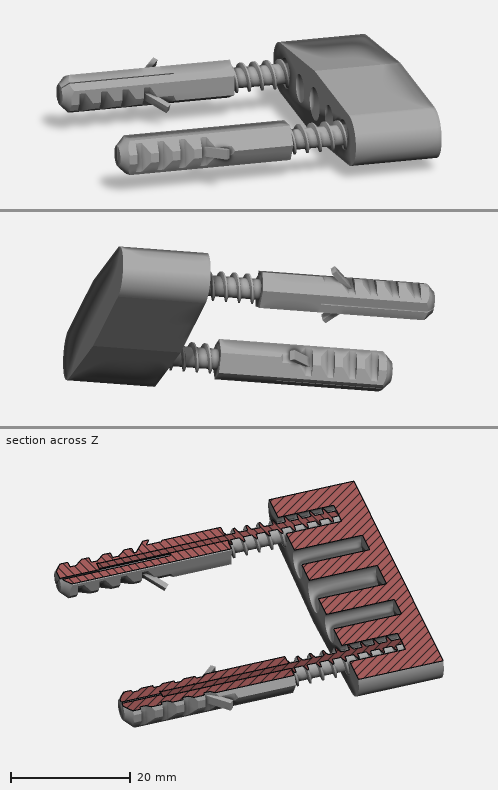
import cadquery as cq
import math

BLOCK_LENGTH = 48.4
BLOCK_HEIGHT = 11.7
BLOCK_DEPTH = 15.0
BLOCK_END_RADIUS = 4.4

CENTER_HOLE_DIAMETER = 5.75
SIDE_HOLE_DIAMETER = 4.9
SIDE_HOLE_OFFSET = 8.5
SCREW_HOLE_DIAMETER = 5.25
HOLE_DEPTH = 12.0

FIXING_OFFSET = 17.0
LEFT_PLUG_TURN = -35.2
RIGHT_PLUG_TURN = 2.2
TOTAL_DEPTH = 54.6
PLUG_LENGTH = 29.75
PLUG_START = TOTAL_DEPTH - BLOCK_DEPTH - PLUG_LENGTH
FIXING_REACH = PLUG_START + PLUG_LENGTH

CORE_DIAMETER = 3.5
THREAD_DIAMETER = 5.0
THREAD_PITCH = 2.25
THREAD_PHASE = 0.3
THREAD_ROOT_WIDTH = 0.8
THREAD_CREST_WIDTH = 0.3
THREAD_ROOT_SINK = 0.1
SCREW_EMBED = 9.85
SCREW_TIP_GAP = 7.05

PLUG_FLATS = 6.0
PLUG_TIP_RADIUS = 1.8
RIDGE_X = 3.0
RIDGE_TOP = 19.1
SLIT_WIDTH = 0.2
SLIT_TOP = 19.5

NOTCH_COUNT = 4
NOTCH_FIRST = 2.6
NOTCH_PITCH = 3.75
NOTCH_FLOOR_X = 2.0
NOTCH_FLOOR_LENGTH = 1.05
NOTCH_SLOPE_LENGTH = 1.35

LUG_ROOT = 14.3
LUG_REACH_X = 5.3
LUG_THICKNESS = 0.9
LUG_WIDTH = 1.65

CUT_MARGIN = 0.55

PLUG_CORNER_RADIUS = PLUG_FLATS / math.sqrt(3)


def to_fixing_place(body, x):
    """Turn a body built along +Z so that it points along -Y, centered on the given X."""
    return body.rotate((0, 0, 0), (1, 0, 0), 90).translate((x, 0, 0))


def make_block():
    """Long block with sloping sides, rounded ends and a row of blind holes."""
    end_center = BLOCK_LENGTH / 2 - BLOCK_END_RADIUS
    ridge = BLOCK_HEIGHT / 2
    tilt = math.acos(BLOCK_END_RADIUS / math.hypot(end_center, ridge)) - math.atan2(end_center, ridge)
    tangent_x = end_center + BLOCK_END_RADIUS * math.sin(tilt)
    tangent_z = BLOCK_END_RADIUS * math.cos(tilt)
    tip_x = BLOCK_LENGTH / 2
    block = (
        cq.Workplane("XZ")
        .moveTo(0, ridge)
        .lineTo(tangent_x, tangent_z)
        .threePointArc((tip_x, 0), (tangent_x, -tangent_z))
        .lineTo(0, -ridge)
        .lineTo(-tangent_x, -tangent_z)
        .threePointArc((-tip_x, 0), (-tangent_x, tangent_z))
        .close()
        .extrude(-BLOCK_DEPTH)
    )
    holes = [
        (0, CENTER_HOLE_DIAMETER, HOLE_DEPTH),
        (-SIDE_HOLE_OFFSET, SIDE_HOLE_DIAMETER, HOLE_DEPTH),
        (SIDE_HOLE_OFFSET, SIDE_HOLE_DIAMETER, HOLE_DEPTH),
        (-FIXING_OFFSET, SCREW_HOLE_DIAMETER, SCREW_EMBED),
        (FIXING_OFFSET, SCREW_HOLE_DIAMETER, SCREW_EMBED),
    ]
    for x, diameter, depth in holes:
        block = block.cut(cq.Workplane("XZ").center(x, 0).circle(diameter / 2).extrude(-depth))
    return block


def make_thread():
    """Helical ridge around the screw, from its end in the block to the plug."""
    start = THREAD_PHASE - math.ceil(SCREW_EMBED / THREAD_PITCH + 1) * THREAD_PITCH
    root = CORE_DIAMETER / 2 - THREAD_ROOT_SINK
    crest = THREAD_DIAMETER / 2
    turns = math.ceil((PLUG_START - start) / THREAD_PITCH) + 1
    helix = cq.Wire.makeHelix(THREAD_PITCH, turns * THREAD_PITCH, root, center=cq.Vector(0, 0, start))
    ridge = (
        cq.Workplane("XZ")
        .polyline([
            (root, start - THREAD_ROOT_WIDTH / 2),
            (crest, start - THREAD_CREST_WIDTH / 2),
            (crest, start + THREAD_CREST_WIDTH / 2),
            (root, start + THREAD_ROOT_WIDTH / 2),
        ])
        .close()
        .sweep(cq.Workplane(helix), isFrenet=True)
    )
    length = SCREW_EMBED + PLUG_START
    trim_radius = crest + CUT_MARGIN
    keep = cq.Workplane("XY").workplane(offset=-SCREW_EMBED).circle(trim_radius).extrude(length)
    return ridge.intersect(keep)


def make_screw():
    """Threaded screw along +Z, with Z = 0 at the mounting face and its end inside the plug."""
    length = SCREW_EMBED + FIXING_REACH - SCREW_TIP_GAP
    core = cq.Workplane("XY").workplane(offset=-SCREW_EMBED).circle(CORE_DIAMETER / 2).extrude(length)
    return core.union(make_thread())


def make_side_profile(points, width):
    """Prism across the plug from (X, height above tip) points, with the tip at Z = 0."""
    return cq.Workplane("XZ").polyline(points).close().extrude(width / 2, both=True)


def make_barb_cut():
    """Material removed from the +X corner: the flat along the corner and the notches."""
    outside = PLUG_CORNER_RADIUS + CUT_MARGIN
    cut = make_side_profile(
        [
            (RIDGE_X, 0),
            (outside, 0),
            (outside, RIDGE_TOP + outside - RIDGE_X),
            (RIDGE_X, RIDGE_TOP),
        ],
        PLUG_FLATS,
    )
    slope = NOTCH_SLOPE_LENGTH / (RIDGE_X - NOTCH_FLOOR_X)
    for i in range(NOTCH_COUNT):
        wall = NOTCH_FIRST + i * NOTCH_PITCH
        floor_end = wall + NOTCH_FLOOR_LENGTH
        notch = make_side_profile(
            [
                (NOTCH_FLOOR_X, wall),
                (outside, wall),
                (outside, floor_end + slope * (outside - NOTCH_FLOOR_X)),
                (NOTCH_FLOOR_X, floor_end),
            ],
            PLUG_FLATS,
        )
        cut = cut.union(notch)
    return cut


def make_lug():
    """Springy lug leaning out at 45 degrees from the uppermost notch on the +X side."""
    reach = LUG_REACH_X - NOTCH_FLOOR_X
    step = LUG_THICKNESS / math.sqrt(2)
    return make_side_profile(
        [
            (NOTCH_FLOOR_X, LUG_ROOT),
            (LUG_REACH_X, LUG_ROOT + reach),
            (LUG_REACH_X - step, LUG_ROOT + reach + step),
            (NOTCH_FLOOR_X, LUG_ROOT + 2 * step),
        ],
        LUG_WIDTH,
    )


def make_plug(turn):
    """Hexagonal expansion plug, turned about its axis, with its tip at the far end of the fixing."""
    plug = cq.Workplane("XY").polygon(6, 2 * PLUG_CORNER_RADIUS).extrude(PLUG_LENGTH)

    wide = PLUG_TIP_RADIUS + PLUG_LENGTH
    cone = (
        cq.Workplane("XZ")
        .polyline([(0, 0), (PLUG_TIP_RADIUS, 0), (wide, PLUG_LENGTH), (0, PLUG_LENGTH)])
        .close()
        .revolve(360, (0, 0, 0), (0, 1, 0))
    )
    plug = plug.intersect(cone)

    barb_cut = make_barb_cut()
    lug = make_lug()
    for angle in (0, 180):
        plug = plug.cut(barb_cut.rotate((0, 0, 0), (0, 0, 1), angle))
        plug = plug.union(lug.rotate((0, 0, 0), (0, 0, 1), angle))

    bore = cq.Workplane("XY").workplane(offset=SCREW_TIP_GAP).circle(CORE_DIAMETER / 2)
    bore = bore.extrude(PLUG_LENGTH - SCREW_TIP_GAP)
    slit = cq.Workplane("XY").rect(SLIT_WIDTH, 2 * PLUG_FLATS).extrude(SLIT_TOP)
    plug = plug.cut(bore).cut(slit)

    plug = plug.rotate((0, 0, 0), (0, 1, 0), 180).translate((0, 0, FIXING_REACH))
    return plug.rotate((0, 0, 0), (0, 0, 1), turn)


block = make_block()
screws = [to_fixing_place(make_screw(), x) for x in (-FIXING_OFFSET, FIXING_OFFSET)]
plugs = [
    to_fixing_place(make_plug(turn), x)
    for x, turn in ((-FIXING_OFFSET, LEFT_PLUG_TURN), (FIXING_OFFSET, RIGHT_PLUG_TURN))
]

result = cq.Compound.makeCompound([body.val() for body in [block, *screws, *plugs]])